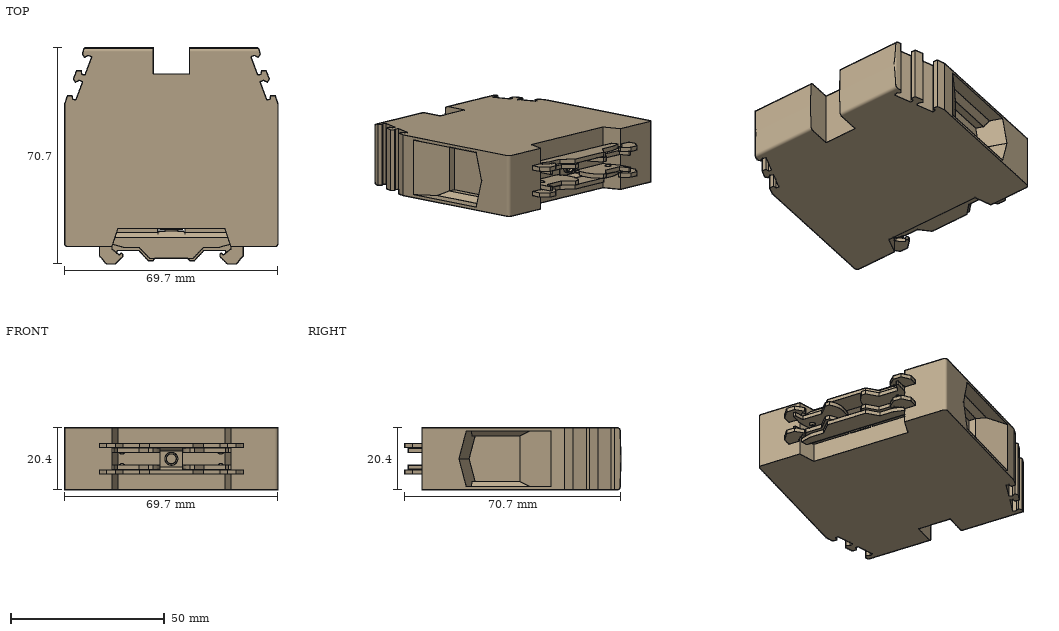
import cadquery as cq
half_width = 34.85
half_thickness = 10.2
front_y = 35.35
base_y = -29.7
foot_y = -35.35
base_corner_radius = 1.05

front_shoulder_y = 33.9
front_rim_y = 35.05
front_rim_z = 8.9
front_arc_mid = (34.8, 9.8)

slot_half_width = 5.9
slot_floor_y = 26.7

front_corner = (28.5, front_y)
front_corner_radius = 0.9
notch_outline = [
    (29.05, 33.15),
    (28.35, 32.1),
    (27.15, 32.7),
    (26.0, 32.3),
    (28.2, 26.4),
    (29.2, 26.6),
    (29.4, 27.8),
    (30.95, 27.8),
]
notch_count = 2
notch_pitch_x = 3.0
notch_pitch_y = -8.1
side_face_top_y = 16.9

rail_floor_y = -23.75
rail_floor_half_width = 17.45
rail_mouth_half_width = 19.45

pocket_mouth_half_height = 9.1
pocket_floor_half_height = 7.4
pocket_taper_start = 4.2
pocket_ramp_depth = 6.3
pocket_depth = 8.75
pocket_ramp_top_y = 12.4
pocket_ramp_end_y = 2.25
pocket_end_apex_y = -17.6
pocket_end_corner_y = -15.2
pocket_end_draft = 3.3

plate_thickness = 1.4
outer_plate_z = 3.6
inner_plate_z = 2.05
embed = 1.4

outer_plate_back_y = -25.0
outer_plate_back_half_width = 18.65
outer_slope_start_y = -26.65
outer_plate_edge = [(19.4, -28.85), (15.3, -30.0), (10.45, -30.0), (7.1, -33.5)]
back_gradient = plate_thickness / (outer_plate_back_y - outer_slope_start_y)
tongue_root_half_width = 4.4
tongue_tip_half_width = 3.9
tongue_tip_y = -24.6
tongue_tip_z = 2.6

hook_outline = [
    (23.5, -32.7),
    (22.75, -33.4),
    (21.7, -34.85),
    (21.1, foot_y),
    (18.3, foot_y),
    (15.8, -32.95),
    (15.8, -32.15),
    (16.3, -31.65),
    (16.95, -32.4),
    (rail_mouth_half_width, -30.4),
]

inner_plate_arc_start = (3.7, -28.3)
inner_plate_arc_mid = (4.2, -31.5)
inner_plate_arc_end = (5.5, -33.65)
inner_plate_outline = [
    (6.0, -34.3),
    (7.5, -34.3),
    (10.6, -30.95),
    (17.6, -30.95),
    (18.65, -34.1),
    (rail_mouth_half_width, -34.1),
]
inner_plate_relief_x = 4.4
inner_plate_relief_y = -25.0
inner_plate_relief_end = (3.7, -25.8)
dimple_x = 16.1
dimple_y = -27.2
dimple_base_radius = 1.0
dimple_tip_radius = 0.35
dimple_height = 0.5

pad_half_width = 3.7
pad_half_height = 3.5
pad_height = 0.3
tube_radius = 2.1
tube_bore_radius = 1.6
tube_height = 1.4


def mirrored_x(points):
    """Close a right-hand chain of points with its mirror image across X = 0."""
    return points + [(-x, y) for x, y in reversed(points)]


def both_sides(solid, plane):
    """Join a solid with its mirror image across the given plane."""
    return solid.union(solid.mirror(plane))


def prism(points, z_low, z_high):
    """Solid with a straight-sided XY outline between two Z levels."""
    return cq.Workplane("XY").workplane(offset=z_low).polyline(points).close().extrude(z_high - z_low)


def make_housing():
    """Solid housing with notched flanks, marker slot, rail recess and crowned front face."""
    flank = [front_corner]
    for i in range(notch_count):
        flank += [(x + i * notch_pitch_x, y + i * notch_pitch_y) for x, y in notch_outline]
    right_side = [(slot_half_width, slot_floor_y), (slot_half_width, front_y)] + flank
    right_side += [
        (half_width, side_face_top_y),
        (half_width, base_y),
        (rail_mouth_half_width, base_y),
        (rail_floor_half_width, rail_floor_y),
    ]
    block = prism(mirrored_x(right_side), -half_thickness, half_thickness)
    rounded_corners = [((half_width, base_y), base_corner_radius), (front_corner, front_corner_radius)]
    for (x, y), radius in rounded_corners:
        for side in (-1, 1):
            corner_edge = cq.selectors.NearestToPointSelector((side * x, y, 0))
            block = block.edges("|Z").edges(corner_edge).fillet(radius)

    arc_y, arc_z = front_arc_mid
    crown = (
        cq.Workplane("YZ")
        .moveTo(base_y, -half_thickness)
        .lineTo(front_shoulder_y, -half_thickness)
        .threePointArc((arc_y, -arc_z), (front_rim_y, -front_rim_z))
        .lineTo(front_y, 0)
        .lineTo(front_rim_y, front_rim_z)
        .threePointArc((arc_y, arc_z), (front_shoulder_y, half_thickness))
        .lineTo(base_y, half_thickness)
        .close()
        .extrude(half_width, both=True)
    )
    return block.intersect(crown)


def make_pocket():
    """Pocket in the -X side: ramp at +Y, tapered side walls, drafted V-shaped end at -Y."""
    mouth_x = -half_width
    ramp_x = mouth_x + pocket_ramp_depth
    floor_x = mouth_x + pocket_depth
    plan = prism(
        [
            (mouth_x, pocket_ramp_top_y),
            (ramp_x, pocket_ramp_end_y),
            (floor_x, pocket_ramp_end_y),
            (floor_x, pocket_end_apex_y),
            (mouth_x, pocket_end_apex_y),
        ],
        -half_thickness,
        half_thickness,
    )

    upper_wall = [
        (mouth_x, pocket_mouth_half_height),
        (mouth_x + pocket_taper_start, pocket_mouth_half_height),
        (ramp_x, pocket_floor_half_height),
        (floor_x, pocket_floor_half_height),
    ]
    lower_wall = [(x, -z) for x, z in reversed(upper_wall)]
    walls = cq.Workplane("XZ").polyline(upper_wall + lower_wall).close().extrude(front_y, both=True)

    def end_section(draft):
        corner_y = pocket_end_corner_y + draft
        return [
            (pocket_ramp_top_y, pocket_mouth_half_height),
            (corner_y, pocket_mouth_half_height),
            (pocket_end_apex_y + draft, 0),
            (corner_y, -pocket_mouth_half_height),
            (pocket_ramp_top_y, -pocket_mouth_half_height),
        ]

    drafted_end = (
        cq.Workplane("YZ", origin=(mouth_x, 0, 0))
        .polyline(end_section(0))
        .close()
        .workplane(offset=pocket_depth)
        .polyline(end_section(pocket_end_draft))
        .close()
        .loft(ruled=True)
    )
    return plan.intersect(walls).intersect(drafted_end)


def make_outer_plate():
    """Upper outer plate with its sloped back edge and middle tongue."""
    top_z = outer_plate_z + plate_thickness
    edge_x, edge_y = outer_plate_edge[0]
    outline = [(outer_plate_back_half_width, outer_plate_back_y), (edge_x + embed, edge_y)] + outer_plate_edge
    plate = prism(mirrored_x(outline), outer_plate_z, top_z)
    slope_waste = (
        cq.Workplane("YZ")
        .moveTo(outer_slope_start_y, top_z)
        .lineTo(outer_plate_back_y, top_z)
        .lineTo(outer_plate_back_y, outer_plate_z)
        .close()
        .extrude(half_width, both=True)
    )
    tongue_top_z = top_z - back_gradient * (tongue_tip_y - outer_slope_start_y)
    tongue = (
        cq.Workplane("YZ")
        .moveTo(outer_slope_start_y, top_z)
        .lineTo(tongue_tip_y, tongue_top_z)
        .lineTo(tongue_tip_y, tongue_tip_z)
        .lineTo(outer_slope_start_y, outer_plate_z)
        .close()
        .extrude(tongue_root_half_width, both=True)
    )
    tongue_plan = [
        (tongue_tip_half_width, tongue_tip_y),
        (tongue_root_half_width, outer_plate_back_y),
        (tongue_root_half_width, outer_slope_start_y),
    ]
    tongue = tongue.intersect(prism(mirrored_x(tongue_plan), tongue_tip_z, top_z))
    return plate.cut(slope_waste).union(tongue)


def make_hook():
    """Right-hand hook, rooted in the base of the housing."""
    root_y = base_y + embed
    root = [(rail_mouth_half_width, root_y), (hook_outline[0][0], root_y)]
    return prism(root + hook_outline, outer_plate_z, outer_plate_z + plate_thickness)


def make_inner_plate():
    """Right-hand inner plate with a small conical dimple on the face towards the middle."""
    root_y = rail_floor_y + embed
    root = [
        (rail_mouth_half_width, base_y + embed),
        (rail_mouth_half_width + embed, base_y + embed),
        (rail_floor_half_width + embed, root_y),
        (inner_plate_relief_x, root_y),
        (inner_plate_relief_x, inner_plate_relief_y),
        inner_plate_relief_end,
    ]
    plate = (
        cq.Workplane("XY", origin=(0, 0, inner_plate_z))
        .moveTo(*inner_plate_arc_start)
        .threePointArc(inner_plate_arc_mid, inner_plate_arc_end)
        .polyline(inner_plate_outline + root, includeCurrent=True)
        .close()
        .extrude(plate_thickness)
    )
    dimple = cq.Solid.makeCone(
        dimple_base_radius,
        dimple_tip_radius,
        dimple_height,
        cq.Vector(dimple_x, dimple_y, inner_plate_z),
        cq.Vector(0, 0, -1),
    )
    return plate.union(cq.Workplane(obj=dimple))


def make_floor_tube():
    """Pad with a short tube, standing on the floor of the rail recess."""
    pad = cq.Workplane("XZ", origin=(0, rail_floor_y + embed, 0)).rect(2 * pad_half_width, 2 * pad_half_height)
    pad = pad.extrude(embed + pad_height)
    tube = cq.Workplane("XZ", origin=(0, rail_floor_y, 0)).circle(tube_radius).circle(tube_bore_radius)
    return pad.union(tube.extrude(tube_height))


housing = make_housing().cut(both_sides(make_pocket(), "YZ"))
upper_foot = make_outer_plate()
for right_hand_part in (make_hook(), make_inner_plate()):
    upper_foot = upper_foot.union(both_sides(right_hand_part, "YZ"))

result = housing.union(both_sides(upper_foot, "XY")).union(make_floor_tube())